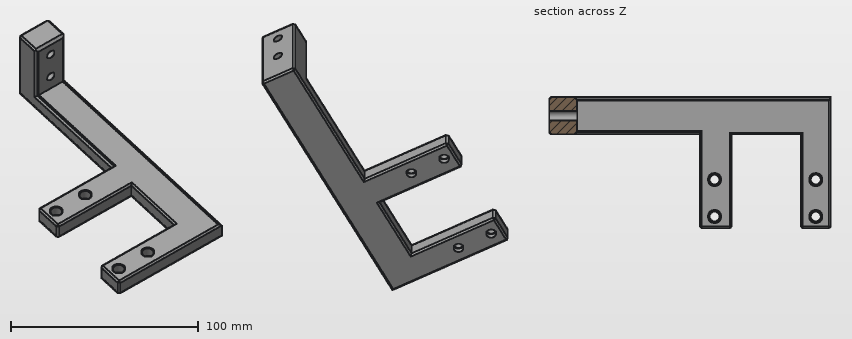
import cadquery as cq

length = 150.3
depth = 70.0
height = 45.0

bar_width = 20.0
plate_thickness = bar_width / 2
post_thickness = 15.0
bar_front = depth - bar_width
bar_middle = depth - bar_width / 2

inner_arm_start = 80.5
inner_arm_end = 97.4
outer_arm_start = 134.3

edge_chamfer = 1.0
inside_chamfer = 1.5
rim_chamfer = 0.5

arm_bore_diameter = 6.2
arm_bore_depth = 6.0
arm_through_diameter = 5.3
arm_hole_chamfer = 0.5
arm_hole_x = 88.2
arm_hole_y = 6.3
arm_hole_pitch_x = 54.0
arm_hole_pitch_y = 19.7

post_hole_diameter = 5.0
post_hole_z = 19.1
post_hole_pitch_z = 17.0

tolerance = 0.02


def near(value, target):
    return abs(value - target) < tolerance


def is_inside_edge(edge):
    """Edge around the post's inner face or along either side of the bar's top."""
    middle = edge.Center()
    on_post = near(middle.x, post_thickness) and middle.z > plate_thickness + tolerance
    across_bar = near(middle.y, bar_middle)
    on_bar = near(middle.z, plate_thickness) and not across_bar
    return on_post or on_bar


def is_inside_rim(edge):
    """Edge where a front or back bevel meets the post's inner face or the bar's top."""
    middle = edge.Center()
    on_bevel = near(middle.y, bar_front + inside_chamfer) or near(middle.y, depth - inside_chamfer)
    return on_bevel and (near(middle.x, post_thickness) or near(middle.z, plate_thickness))


def is_spine_outer_edge(edge):
    """Edge of the underside, the post's left side and top, or the bar's top right end."""
    middle = edge.Center()
    on_post_top = near(middle.z, height) and middle.x < post_thickness - inside_chamfer - tolerance
    on_bar_end = near(middle.x, length) and near(middle.z, plate_thickness)
    return near(middle.z, 0) or near(middle.x, 0) or on_post_top or on_bar_end


def make_spine():
    outline = [
        (0, 0),
        (length, 0),
        (length, plate_thickness),
        (post_thickness, plate_thickness),
        (post_thickness, height),
        (0, height),
    ]
    spine = cq.Workplane("XZ", origin=(0, depth, 0)).polyline(outline).close().extrude(bar_width)
    spine = spine.edges().filter(is_inside_edge).chamfer(inside_chamfer)
    spine = spine.edges().filter(is_inside_rim).chamfer(rim_chamfer)
    return spine.edges().filter(is_spine_outer_edge).chamfer(edge_chamfer)


def make_fork():
    outline = [
        (inner_arm_start, bar_middle),
        (inner_arm_start, 0),
        (inner_arm_end, 0),
        (inner_arm_end, bar_front),
        (outer_arm_start, bar_front),
        (outer_arm_start, 0),
        (length, 0),
        (length, bar_middle),
    ]
    fork = cq.Workplane("XY").polyline(outline).close().extrude(plate_thickness)
    arm_tip_corners = fork.faces("<Y").edges("|Z")
    top_and_bottom = fork.faces("<Z or >Z").edges()
    return top_and_bottom.add(arm_tip_corners).chamfer(edge_chamfer)


def make_arm_hole(x, y):
    """Cutter for a stepped through hole with a bevelled mouth on the top face."""
    through_radius = arm_through_diameter / 2
    bore_radius = arm_bore_diameter / 2
    mouth_radius = bore_radius + arm_hole_chamfer
    step_z = plate_thickness - arm_bore_depth
    half_section = [
        (0, 0),
        (through_radius, 0),
        (through_radius, step_z),
        (bore_radius, step_z),
        (bore_radius, plate_thickness - arm_hole_chamfer),
        (mouth_radius, plate_thickness),
        (0, plate_thickness),
    ]
    cutter = cq.Workplane("XZ").polyline(half_section).close().revolve(360, (0, 0), (0, 1))
    return cutter.translate((x, y, 0))


def make_post_hole(z):
    """Cutter for a plain hole through the post."""
    start = cq.Workplane("YZ").center(bar_middle, z)
    return start.circle(post_hole_diameter / 2).extrude(post_thickness)


result = make_spine().union(make_fork())

for column in range(2):
    for row in range(2):
        hole_x = arm_hole_x + column * arm_hole_pitch_x
        hole_y = arm_hole_y + row * arm_hole_pitch_y
        result = result.cut(make_arm_hole(hole_x, hole_y))

for row in range(2):
    result = result.cut(make_post_hole(post_hole_z + row * post_hole_pitch_z))